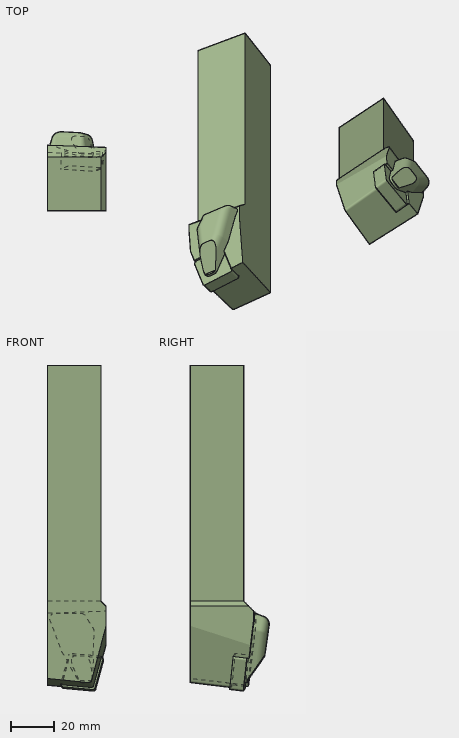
import cadquery as cq
import math

shank_width = 24.9
head_width = 27.2
total_length = 151.35
shoulder_height = 41.8
head_back = 30.5
head_back_drop = 0.036

seat_y = 26.85
side_tilt = 0.053
tip_tilt = 0.122

corner_x = 20.2
corner_z = 3.87
end_angle = 5.3
side_angle = 14.9
flank_reach = 200.0
head_corner_radius = 1.2

inscribed_circle = 15.875
insert_thickness = 6.35
insert_recess = 1.05
insert_overhang = 0.88
insert_radius = 1.2

clamp_outline = [
    (6.2, 18.0), (-0.9, 36.7), (17.0, 36.7), (22.0, 29.0), (21.2, 3.5), (15.0, 3.5),
]
clamp_corner_radius = 3.0
clamp_height = 6.5
clamp_root = 2.0
clamp_taper = 14.0
clamp_edge_radius = 4.0
nose_foot = 4.9
nose_top = 17.3

end_direction = 180 - end_angle
side_direction = 90 - side_angle
corner_angle = math.radians(end_direction - side_direction)
tilt_length = math.sqrt(1 + side_tilt**2 + tip_tilt**2)
seat_depth = (seat_y - side_tilt * corner_x + tip_tilt * corner_z) / tilt_length


def seat_plane(x, y, z):
    """Plane parallel to the seat; its local x, y and z run near +X, +Z and -Y."""
    return cq.Plane(
        origin=(x, y, z),
        xDir=(1, -side_tilt, 0),
        normal=(-side_tilt, -1, tip_tilt),
    )


corner_seat = seat_plane(
    *seat_plane(corner_x, 0, corner_z).toWorldCoords((0, 0, -seat_depth)).toTuple()
)


def polar(angle, length):
    return (length * math.cos(math.radians(angle)), length * math.sin(math.radians(angle)))


def corner_prism(tip, edge_length, start, depth, corner_radius):
    """Rhombic prism from a start depth below the seat plane, with its edges along the two flanks."""
    end_step = polar(end_direction, edge_length)
    side_step = polar(side_direction, edge_length)
    end_point = (tip[0] + end_step[0], tip[1] + end_step[1])
    side_point = (tip[0] + side_step[0], tip[1] + side_step[1])
    far_point = (end_point[0] + side_step[0], end_point[1] + side_step[1])
    prism = (
        cq.Workplane(corner_seat).workplane(offset=start)
        .polyline([tip, end_point, far_point, side_point]).close()
        .extrude(depth)
    )
    return prism.edges(cq.selectors.ParallelDirSelector(corner_seat.zDir)).fillet(corner_radius)


def shouldered_slab(plane, width, depth):
    """Shank profile that widens to the given width below a 45 degree shoulder."""
    return (
        cq.Workplane(plane)
        .polyline([
            (0, 0), (width, 0), (width, shoulder_height - (width - shank_width)),
            (shank_width, shoulder_height), (shank_width, total_length), (0, total_length),
        ]).close().extrude(depth)
    )


def make_blank():
    """Square shank with the wider head, shouldered on the +X and +Y sides."""
    front_slab = shouldered_slab("XZ", head_width, -2 * shank_width)
    side_slab = shouldered_slab("YZ", 2 * shank_width, head_width)
    back_limit = (
        cq.Workplane("XY")
        .polyline([
            (0, 0), (head_width, 0),
            (head_width, head_back - head_back_drop * head_width), (0, head_back),
        ]).close().extrude(total_length)
    )
    return front_slab.intersect(side_slab).intersect(back_limit)


def make_clamp():
    seat = seat_plane(0, seat_y, 0)
    outline = (
        cq.Sketch().polygon([*clamp_outline, clamp_outline[0]])
        .vertices().fillet(clamp_corner_radius)
    )
    pad = (
        cq.Workplane(seat).workplane(offset=clamp_root)
        .placeSketch(outline).extrude(-(clamp_root + clamp_height), taper=clamp_taper)
    )
    outward = cq.selectors.DirectionMinMaxSelector(seat.zDir, directionMax=False)
    pad = pad.faces(outward).edges().fillet(clamp_edge_radius)

    nose_plane = cq.Plane(origin=seat.origin, xDir=seat.yDir, normal=seat.xDir)
    nose_run = nose_top - nose_foot
    nose_cut = (
        cq.Workplane(nose_plane)
        .polyline([
            (nose_foot, 0), (nose_foot + 2 * nose_run, -2 * clamp_height),
            (nose_foot - nose_run, -2 * clamp_height), (nose_foot - nose_run, 0),
        ]).close().extrude(head_width)
    )
    return pad.cut(nose_cut)


def insert_prism(start, depth):
    edge = inscribed_circle / math.sin(corner_angle)
    tip_shift = insert_overhang / math.sin(corner_angle / 2)
    outward_direction = (end_direction + side_direction) / 2 + 180
    return corner_prism(polar(outward_direction, tip_shift), edge, start, depth, insert_radius)


insert = insert_prism(insert_recess, insert_thickness)

insert_pocket = insert_prism(0, insert_recess + insert_thickness)
head_flanks = corner_prism((0, 0), flank_reach, 0, flank_reach, head_corner_radius)
holder = make_blank().intersect(head_flanks).cut(insert_pocket).union(make_clamp()).cut(insert)

result = cq.Compound.makeCompound([holder.solids().val(), insert.solids().val()])